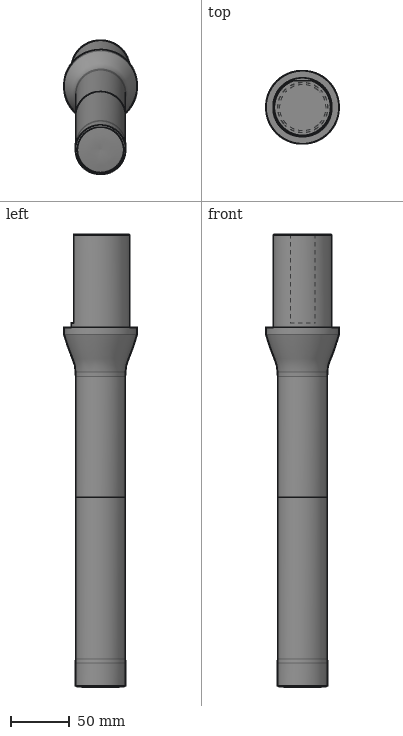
import cadquery as cq

total_length = 386.0
flange_top = 306.5
flange_bottom = 300.5
cone_middle = 283.7
neck_taper_top = 268.5
neck_taper_bottom = 264.8
body_joint = 161.7
head_taper_top = 24.5
head_taper_bottom = 21.0
rim_height = 1.5
rim_inner_height = 0.8
tip_center_height = 0.3

shank_diameter = 50.0
flange_diameter = 62.5
cone_middle_diameter = 51.5
tool_diameter = 43.0
relief_diameter = 42.5
rim_diameter = 39.5
tip_ring_diameter = 15.5

cone_slope = 0.34

shank_chamfer = 1.0
flat_distance = 22.8
flat_clearance = 4.0


def make_holder():
    """Shank, flange and neck above the joint."""
    shank_radius = shank_diameter / 2
    profile = (
        cq.Workplane("XZ")
        .moveTo(0, body_joint)
        .lineTo(relief_diameter / 2, body_joint)
        .lineTo(relief_diameter / 2, neck_taper_bottom)
        .lineTo(tool_diameter / 2, neck_taper_top)
        .spline(
            [(cone_middle_diameter / 2, cone_middle), (flange_diameter / 2, flange_bottom)],
            tangents=[(0, 1), (cone_slope, 1)],
            includeCurrent=True,
        )
        .lineTo(flange_diameter / 2, flange_top)
        .lineTo(shank_radius, flange_top)
        .lineTo(shank_radius, total_length - shank_chamfer)
        .lineTo(shank_radius - shank_chamfer, total_length)
        .lineTo(0, total_length)
        .close()
    )
    holder = profile.revolve(360, (0, 0), (0, 1))
    flat_cut = cq.Workplane("XY").box(
        shank_diameter,
        shank_diameter,
        total_length - flange_top - flat_clearance,
        centered=(True, False, False),
    ).translate((0, flat_distance, flange_top + flat_clearance))
    return holder.cut(flat_cut)


def make_cutting_body():
    """Cylindrical cutting length with a slightly larger head and a shallow, rounded ring at the tip."""
    profile = (
        cq.Workplane("XZ")
        .moveTo(0, tip_center_height)
        .threePointArc((tip_ring_diameter / 2, 0), (rim_diameter / 2, rim_inner_height))
        .lineTo(tool_diameter / 2, rim_height)
        .lineTo(tool_diameter / 2, head_taper_bottom)
        .lineTo(relief_diameter / 2, head_taper_top)
        .lineTo(relief_diameter / 2, body_joint)
        .lineTo(0, body_joint)
        .close()
    )
    return profile.revolve(360, (0, 0), (0, 1))


holder = make_holder()
cutting_body = make_cutting_body()

result = cq.Compound.makeCompound([holder.val(), cutting_body.val()])